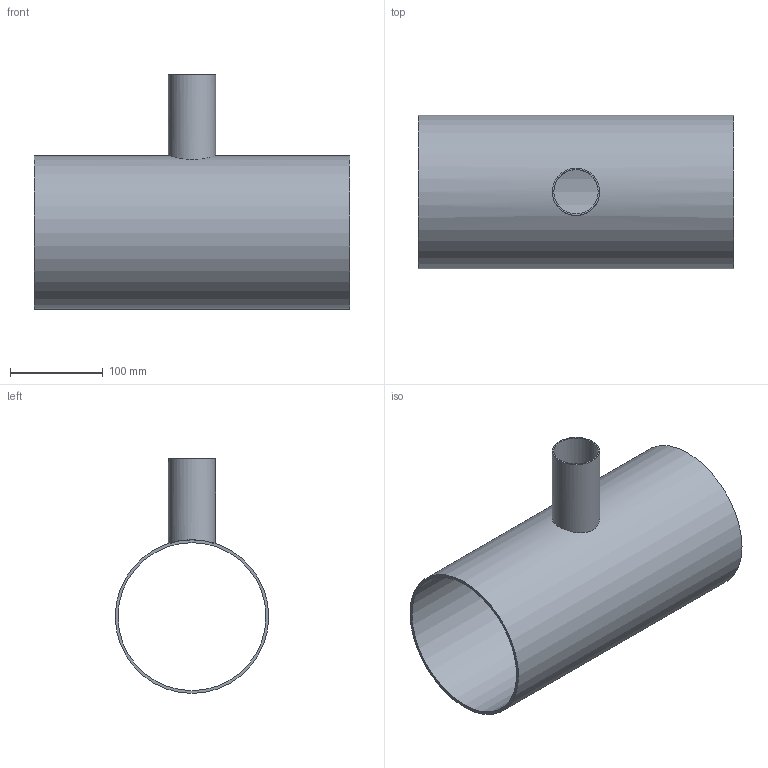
import cadquery as cq

main_length = 340.0
main_outer_diameter = 165.2
main_inner_diameter = 159.2

branch_outer_diameter = 50.8
branch_inner_diameter = 47.8
branch_top_height = 170.0


def main_cylinder(diameter):
    """Cylinder along X, centred on the origin, as long as the main pipe."""
    return cq.Workplane("YZ").circle(diameter / 2).extrude(main_length / 2, both=True)


def branch_cylinder(diameter):
    """Cylinder from the main pipe axis up to the open end of the branch."""
    return cq.Workplane("XY").circle(diameter / 2).extrude(branch_top_height)


outer_body = main_cylinder(main_outer_diameter).union(branch_cylinder(branch_outer_diameter))
main_bore = main_cylinder(main_inner_diameter)
branch_bore = branch_cylinder(branch_inner_diameter)

result = outer_body.cut(main_bore).cut(branch_bore)